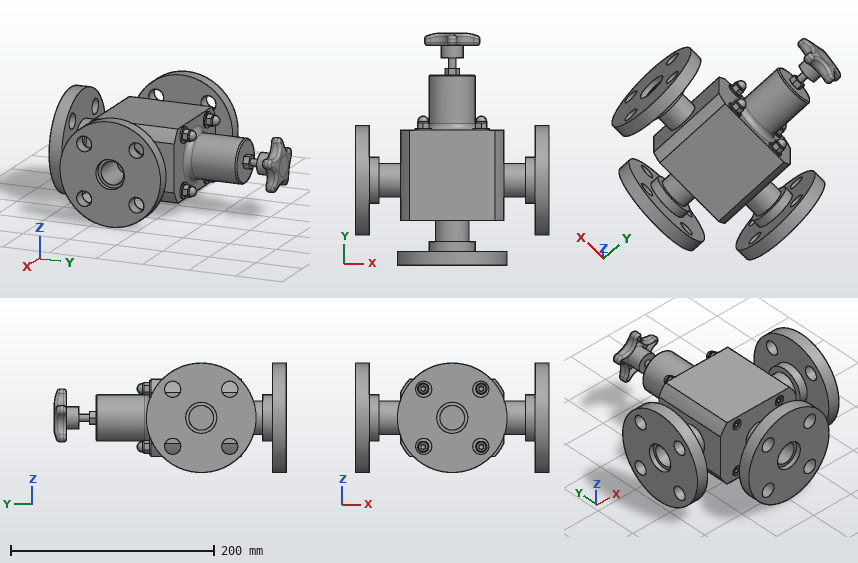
import cadquery as cq
import math


overall_length = 228.59

run_face = 95.25
branch_face = 83.82
flange_dia = 107.95
flange_thickness = 13.8
hub_dia = 45.72
hub_length = 9.6
pipe_dia = 33.4
bore_dia = 24.31
socket_dia = 30.61
socket_depth = 5.5
bolt_hole_dia = 15.88
bolt_circle_dia = 79.38
bolt_count = 4

body_width = 101.6
body_height = 76.2
body_front = -39.6
body_length = 88.9
body_back = body_front + body_length
body_corner_dia = 113.3

bonnet_dia = 45.72
bonnet_end = 103.7
bonnet_chamfer = 1.4
bonnet_root_fillet = 6.35

stem_dia = 7.44
jam_nut_flats = 12.7
jam_nut_height = 6.35

hub_start = 120.3
wheel_hub_dia = 22.1
wheel_start = 132.4
wheel_end = overall_length - branch_face
wheel_height = wheel_end - wheel_start
tip_height = 8.6
lobe_count = 5
lobe_circle_radius = 23.75
lobe_radius = 4.6
waist_radius = 17.0
rim_wall = 2.6
rim_fillet = 3.1
pocket_depth = 6.8
wheel_root_fillet = 2.5
crown_overhang = 1.2

screw_offset = 28.575
counterbore_dia = 11.0
counterbore_depth = 7.5
head_dia = 9.53
head_face_dia = 7.44
head_recess = 1.0
key_flats = 4.76
key_depth = 3.0
key_tip_depth = 1.4
washer_dia = 16.5
washer_thickness = 1.5
nut_flats = 11.0
nut_height = 5.6
nut_collar_height = 1.5
nut_dome_radius = 5.2

FLAT_TO_CORNER = 1 / math.cos(math.pi / 6)


def plane_at(y):
    """XZ plane at height y along the stem, facing +Y, with local x along -X."""
    return cq.Plane(origin=(0, y, 0), xDir=(-1, 0, 0), normal=(0, 1, 0))


def disc(y, diameter, length):
    return cq.Workplane(plane_at(y)).circle(diameter / 2).extrude(length)


def port_frame(angle, face):
    """Plane on a flange face, pointing inward, for a port turned by angle about Z."""
    turn = math.radians(angle)
    outward = cq.Vector(math.cos(turn), math.sin(turn), 0)
    return cq.Plane(origin=outward * face, xDir=(0, 0, 1), normal=outward * -1)


def port_solid(frame, reach):
    flange = cq.Workplane(frame).circle(flange_dia / 2).extrude(flange_thickness)
    hub = cq.Workplane(frame).circle(hub_dia / 2).extrude(flange_thickness + hub_length)
    pipe = cq.Workplane(frame).circle(pipe_dia / 2).extrude(reach)
    bolt_holes = (
        cq.Workplane(frame)
        .polarArray(bolt_circle_dia / 2, 180 / bolt_count, 360, bolt_count)
        .circle(bolt_hole_dia / 2)
        .extrude(flange_thickness)
    )
    return flange.union(hub).cut(bolt_holes).union(pipe)


def port_bore(frame, depth):
    bore = cq.Workplane(frame).circle(bore_dia / 2).extrude(depth)
    socket = cq.Workplane(frame).circle(socket_dia / 2).extrude(socket_depth)
    return bore.union(socket)


def body_block():
    block = cq.Workplane(plane_at(body_front)).rect(body_width, body_height).extrude(body_length)
    return block.intersect(disc(body_front, body_corner_dia, body_length))


def root_flare(y, radius, fillet, side):
    """Filleted foot of a boss on the face at height y; side is +1 or -1 along Y."""
    bulge = fillet * (1 - math.sqrt(0.5))
    return (
        cq.Workplane("XY")
        .moveTo(0, y)
        .lineTo(radius + fillet, y)
        .threePointArc((radius + bulge, y + side * bulge), (radius, y + side * fillet))
        .lineTo(0, y + side * fillet)
        .close()
        .revolve(360, (0, 0), (0, 1))
    )


def bonnet():
    barrel = disc(body_back, bonnet_dia, bonnet_end - body_back)
    barrel = barrel.faces(">Y").edges().chamfer(bonnet_chamfer)
    return barrel.union(root_flare(body_back, bonnet_dia / 2, bonnet_root_fillet, 1))


def stem():
    jam_nut = (
        cq.Workplane(plane_at(bonnet_end))
        .polygon(6, jam_nut_flats * FLAT_TO_CORNER)
        .extrude(jam_nut_height)
    )
    return disc(bonnet_end, stem_dia, hub_start - bonnet_end).union(jam_nut)


def star(y, inset, height):
    """Star prism whose round lobes flow tangentially into the hollows between them."""
    lobe = lobe_radius - inset
    waist = waist_radius - inset
    half_step = math.pi / lobe_count
    half_chord = lobe_circle_radius * math.sin(half_step)
    chord_distance = lobe_circle_radius * math.cos(half_step)
    sink = waist - chord_distance
    hollow = (half_chord**2 + sink**2 - lobe**2) / (2 * (lobe - sink))
    hollow_distance = waist + hollow
    share = lobe / (lobe + hollow)

    def polar(radius, angle):
        return (radius * math.cos(angle), radius * math.sin(angle))

    def touch_point(lobe_angle, hollow_angle):
        centre = polar(lobe_circle_radius, lobe_angle)
        target = polar(hollow_distance, hollow_angle)
        return tuple(c + share * (t - c) for c, t in zip(centre, target))

    first = math.pi / 2
    outline = cq.Workplane(plane_at(y)).moveTo(*touch_point(first, first - half_step))
    for index in range(lobe_count):
        angle = first + 2 * half_step * index
        gap = angle + half_step
        outline = outline.threePointArc(polar(lobe_circle_radius + lobe, angle), touch_point(angle, gap))
        outline = outline.threePointArc(polar(waist, gap), touch_point(gap + half_step, gap))
    return outline.close().extrude(height)


def handwheel():
    hub_radius = wheel_hub_dia / 2
    tip_radius = lobe_circle_radius + lobe_radius
    drop = wheel_height - tip_height
    run = tip_radius - hub_radius
    crown_radius = (run**2 + drop**2) / (2 * drop)
    tip_angle = math.asin(run / crown_radius)

    def crown_point(angle):
        return (
            hub_radius + crown_radius * math.sin(angle),
            wheel_end - crown_radius * (1 - math.cos(angle)),
        )

    rim_point = crown_point(crown_overhang * tip_angle)
    crown = (
        cq.Workplane("XY")
        .moveTo(0, wheel_start)
        .lineTo(rim_point[0], wheel_start)
        .lineTo(*rim_point)
        .threePointArc(crown_point(tip_angle / 2), (hub_radius, wheel_end))
        .lineTo(0, wheel_end)
        .close()
        .revolve(360, (0, 0), (0, 1))
    )
    wheel = star(wheel_start, 0, 2 * wheel_height).intersect(crown)
    wheel = wheel.edges("not |Y").edges("not(%CIRCLE and >Y)").fillet(rim_fillet)
    wheel = wheel.cut(star(wheel_start, rim_wall, pocket_depth))
    floor_y = wheel_start + pocket_depth
    hub = disc(hub_start, wheel_hub_dia, floor_y - hub_start)
    return wheel.union(hub).union(root_flare(floor_y, hub_radius, wheel_root_fillet, -1))


def socket_screw():
    """Counterbored cap screw on the stem axis, as a (hole, screw) pair."""
    head_y = body_front + head_recess
    seat_y = body_front + counterbore_depth
    hole = disc(body_front, counterbore_dia, counterbore_depth)
    head_rounding = (head_dia - head_face_dia) / 2
    head = disc(head_y, head_dia, seat_y - head_y).faces("<Y").edges().fillet(head_rounding)
    key = (
        cq.Workplane(plane_at(head_y))
        .transformed(rotate=(0, 0, 90))
        .polygon(6, key_flats * FLAT_TO_CORNER)
        .extrude(key_depth)
    )
    tip = cq.Solid.makeCone(
        key_flats / 2,
        0,
        key_tip_depth,
        pnt=cq.Vector(0, head_y + key_depth, 0),
        dir=cq.Vector(0, 1, 0),
    )
    return hole, head.cut(key).cut(cq.Workplane(tip))


def acorn_nut():
    """Washer and domed nut on the stem axis, standing on the back of the body."""
    nut_y = body_back + washer_thickness
    collar_y = nut_y + nut_height
    dome_y = collar_y + nut_collar_height
    washer = disc(body_back, washer_dia, washer_thickness)
    hexagon = (
        cq.Workplane(plane_at(nut_y))
        .transformed(rotate=(0, 0, 90))
        .polygon(6, nut_flats * FLAT_TO_CORNER)
        .extrude(nut_height)
    )
    collar = disc(collar_y, nut_flats, nut_collar_height)
    dome = cq.Workplane("XY").sphere(nut_dome_radius).translate((0, dome_y, 0))
    return washer.union(hexagon).union(collar).union(dome)


ports = [
    (port_frame(0, run_face), run_face - body_width / 2),
    (port_frame(180, run_face), run_face - body_width / 2),
    (port_frame(-90, branch_face), branch_face + body_front),
]

valve = body_block().union(bonnet()).union(stem()).union(handwheel())
for frame, reach in ports:
    valve = valve.union(port_solid(frame, reach))
for frame, reach in ports:
    valve = valve.cut(port_bore(frame, reach))

screw_hole, screw = socket_screw()
nut = acorn_nut()
for x in (-screw_offset, screw_offset):
    for z in (-screw_offset, screw_offset):
        place = (x, 0, z)
        valve = valve.cut(screw_hole.translate(place)).union(screw.translate(place))
        valve = valve.union(nut.translate(place))

result = valve